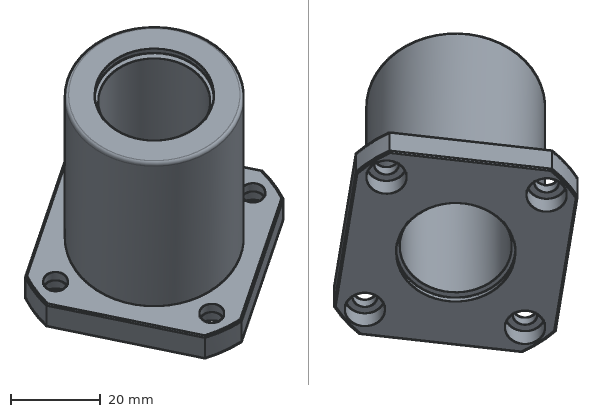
import cadquery as cq

flange_diameter = 61.9
flange_across_flats = 50.0
flange_thickness = 8.0
flange_chamfer = 0.4

total_height = 58.0
sleeve_diameter = 40.0
sleeve_top_radius = 0.85

bore_diameter = 25.0
lip_diameter = 26.6
lip_depth = 1.6
groove_diameter = 28.2
recess_depth = 2.5

bolt_circle_diameter = 51.0
bolt_hole_diameter = 5.5
counterbore_diameter = 9.0
counterbore_depth = 5.1


def make_flange():
    disc = cq.Workplane("XY").circle(flange_diameter / 2).extrude(flange_thickness)
    square = (
        cq.Workplane("XY")
        .rect(flange_across_flats, flange_across_flats)
        .extrude(flange_thickness)
        .rotate((0, 0, 0), (0, 0, 1), 45)
    )
    return disc.intersect(square).faces("<Z or >Z").chamfer(flange_chamfer)


def make_sleeve():
    sleeve = cq.Workplane("XY").circle(sleeve_diameter / 2).extrude(total_height)
    return sleeve.faces(">Z").edges().fillet(sleeve_top_radius)


def make_recess():
    lip = cq.Workplane("XY").circle(lip_diameter / 2).extrude(lip_depth)
    groove_width = recess_depth - lip_depth
    return lip.faces(">Z").workplane().circle(groove_diameter / 2).extrude(groove_width)


def cut_bore(body):
    bore = cq.Workplane("XY").circle(bore_diameter / 2).extrude(total_height)
    bottom_recess = make_recess()
    top_recess = bottom_recess.mirror("XY").translate((0, 0, total_height))
    return body.cut(bore).cut(bottom_recess).cut(top_recess)


def cut_bolt_holes(body):
    return (
        body.faces("<Z")
        .workplane(origin=(0, 0, 0))
        .polarArray(bolt_circle_diameter / 2, 0, 360, 4)
        .cboreHole(
            bolt_hole_diameter,
            counterbore_diameter,
            counterbore_depth,
            depth=flange_thickness,
        )
    )


result = make_flange().union(make_sleeve())
result = cut_bore(result)
result = cut_bolt_holes(result)